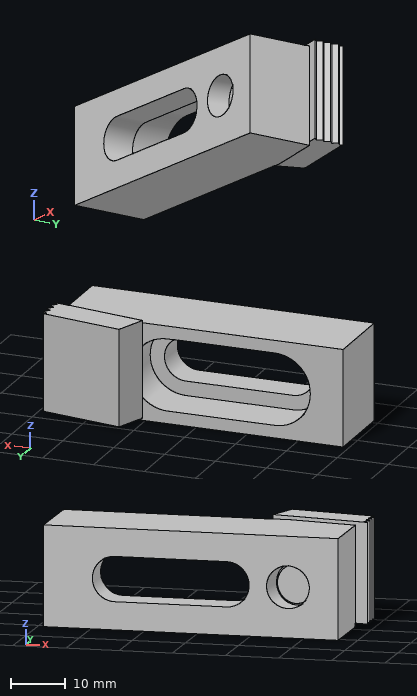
import cadquery as cq
import math

block_length = 55.5
block_depth = 15.55
block_height = 19.0
mid_height = block_height / 2

slot_left = 9.25
slot_right = 38.7
slot_width = 8.4
wide_slot_width = 14.0
slot_step_depth = 6.5

seat_angle = 10.0
seat_slope = math.tan(math.radians(seat_angle))

jaw_tip_x = 57.85
jaw_tip_y = 12.9
jaw_left = 39.2
jaw_thickness = 6.35
jaw_rise = 0.7
jaw_end_angle = 20.0
tooth_count = 4
tooth_pitch = 1.75
tooth_depth = tooth_pitch / 2

pin_diameter = 7.9
pin_mouth_x = 46.05
pin_recess = 3.5
pin_chamfer = 0.35
pin_jaw_engagement = jaw_thickness / 2


def seat_y(x):
    """Y of the seat plane at a given X."""
    return jaw_tip_y + (jaw_tip_x - x) * seat_slope


pin_axis = cq.Vector(
    math.sin(math.radians(seat_angle)), math.cos(math.radians(seat_angle)), 0
)
bore_mouth = cq.Vector(pin_mouth_x, 0, mid_height)
bore_length = seat_y(pin_mouth_x) * math.cos(math.radians(seat_angle))
pin_length = bore_length - pin_recess + pin_jaw_engagement


def pin_cylinder(start, length):
    """Cylinder along the pin axis, starting a given distance from the bore mouth."""
    plane = cq.Plane(origin=bore_mouth + pin_axis * start, xDir=(0, 0, 1), normal=pin_axis)
    return cq.Workplane(plane).circle(pin_diameter / 2).extrude(length)


def slot_cutter(width, start_y, end_y):
    """Round-ended slot between two depths, sharing the end centres of the through slot."""
    center_spacing = slot_right - slot_left - slot_width
    return (
        cq.Workplane("XZ", origin=((slot_left + slot_right) / 2, start_y, mid_height))
        .slot2D(center_spacing + width, width)
        .extrude(start_y - end_y)
    )


def make_block():
    seat_start_x = jaw_tip_x - (block_depth - jaw_tip_y) / seat_slope
    body = (
        cq.Workplane("XY")
        .polyline([
            (0, 0),
            (block_length, 0),
            (block_length, seat_y(block_length)),
            (seat_start_x, block_depth),
            (0, block_depth),
        ])
        .close()
        .extrude(block_height)
    )
    body = body.cut(slot_cutter(slot_width, 0, block_depth))
    body = body.cut(slot_cutter(wide_slot_width, slot_step_depth, block_depth))
    return body.cut(pin_cylinder(-pin_diameter, pin_diameter + bore_length + pin_diameter))


def make_jaw():
    end_length = jaw_thickness / math.cos(math.radians(jaw_end_angle - seat_angle))
    back_left_x = jaw_left + end_length * math.sin(math.radians(jaw_end_angle))
    back_left_y = seat_y(jaw_left) + end_length * math.cos(math.radians(jaw_end_angle))
    back_right_y = back_left_y - (jaw_tip_x - back_left_x) * seat_slope
    jaw_body = (
        cq.Workplane("XY", origin=(0, 0, jaw_rise))
        .polyline([
            (jaw_left, seat_y(jaw_left)),
            (jaw_tip_x, jaw_tip_y),
            (jaw_tip_x, back_right_y),
            (back_left_x, back_left_y),
        ])
        .close()
        .extrude(block_height)
    )
    for index in range(tooth_count):
        notch_y = jaw_tip_y + index * tooth_pitch
        notch = (
            cq.Workplane("XY", origin=(0, 0, jaw_rise))
            .polyline([
                (jaw_tip_x, notch_y),
                (jaw_tip_x, notch_y + tooth_pitch),
                (jaw_tip_x - tooth_depth, notch_y + tooth_pitch / 2),
            ])
            .close()
            .extrude(block_height)
        )
        jaw_body = jaw_body.cut(notch)
    return jaw_body.cut(pin_cylinder(pin_recess, pin_length))


def make_pin():
    return pin_cylinder(pin_recess, pin_length).faces("<Y").chamfer(pin_chamfer)


block = make_block()
jaw = make_jaw()
pin = make_pin()

result = cq.Compound.makeCompound([block.val(), jaw.val(), pin.val()])